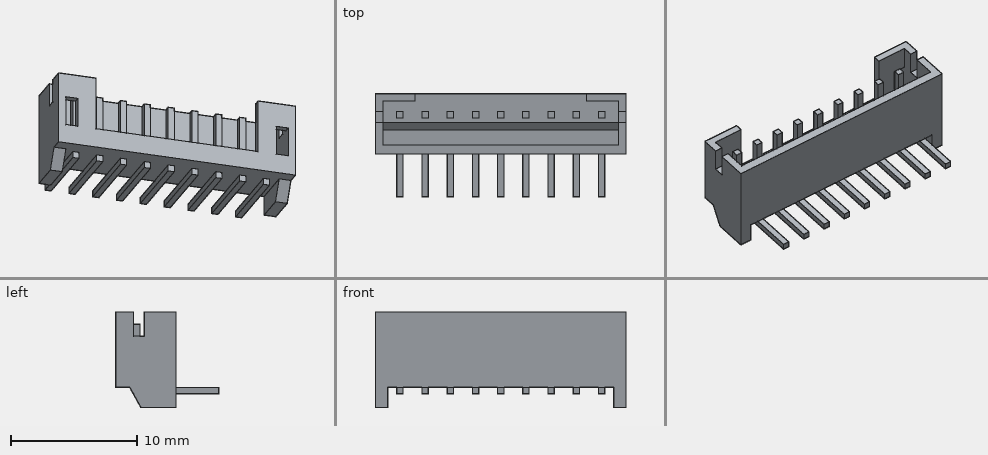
import cadquery as cq

LENGTH = 19.9
DEPTH = 4.8
HEIGHT = 7.6

SIDE_WALL = 0.62
FRONT_WALL = 0.72
BACK_WALL = 0.6
FLOOR_Z = 3.2

CHANNEL_BACK_Y = 1.91
SLOPE_TOP_Y = 2.53
CHANNEL_DEPTH = SLOPE_TOP_Y - CHANNEL_BACK_Y

TAB_LENGTH = 3.15

WINDOW_WIDTH = 1.0
WINDOW_DROP = 1.99

SLOT_FRONT_Y = SLOPE_TOP_Y
SLOT_BACK_Y = 3.36
SLOT_DEPTH = 1.93

FOOT_WIDTH = 1.0
FOOT_HEIGHT = 1.61
FOOT_BOTTOM_DEPTH = 2.79
FOOT_TOP_DEPTH = 3.68

PIN_COUNT = 9
PIN_ROW_LENGTH = 16.0
PIN_PITCH = PIN_ROW_LENGTH / (PIN_COUNT - 1)
PIN_SIZE = 0.52
PIN_REACH = 3.4
PIN_BACK_Y = SLOT_BACK_Y
PIN_TOP_DROP = 0.98

CAVITY_LENGTH = LENGTH - 2 * SIDE_WALL
CAVITY_BACK_Y = DEPTH - BACK_WALL


def box(x_range, y_range, z_range):
    """Box spanning the given (low, high) range on each axis."""
    low, high = zip(x_range, y_range, z_range)
    size = [b - a for a, b in zip(low, high)]
    return cq.Workplane("XY").box(*size, centered=False).translate(low)


def centred(length):
    """Range of the given length about the middle of the part."""
    return (-length / 2, length / 2)


def extrude_along_x(points, length):
    """Extrude a closed (Y, Z) profile along X, centred on the part."""
    return cq.Workplane("YZ").polyline(points).close().extrude(length / 2, both=True)


def make_blank():
    """End profile over the full length, cut away between the feet."""
    profile = [
        (0, 0),
        (FOOT_BOTTOM_DEPTH, 0),
        (FOOT_TOP_DEPTH, FOOT_HEIGHT),
        (DEPTH, FOOT_HEIGHT),
        (DEPTH, HEIGHT),
        (0, HEIGHT),
    ]
    blank = extrude_along_x(profile, LENGTH)
    return blank.cut(box(centred(LENGTH - 2 * FOOT_WIDTH), (0, DEPTH), (0, FOOT_HEIGHT)))


def make_cavity():
    """Space above the floor, with the channel along its front."""
    profile = [
        (FRONT_WALL, HEIGHT),
        (FRONT_WALL, FLOOR_Z - CHANNEL_DEPTH),
        (CHANNEL_BACK_Y, FLOOR_Z - CHANNEL_DEPTH),
        (SLOPE_TOP_Y, FLOOR_Z),
        (CAVITY_BACK_Y, FLOOR_Z),
        (CAVITY_BACK_Y, HEIGHT),
    ]
    return extrude_along_x(profile, CAVITY_LENGTH)


def make_back_openings():
    """Central gap between the tabs, and one window in each tab."""
    through_wall = (CAVITY_BACK_Y, DEPTH)
    gap = box(centred(LENGTH - 2 * TAB_LENGTH), through_wall, (FLOOR_Z, HEIGHT))
    inner = CAVITY_LENGTH / 2
    window = box((inner - WINDOW_WIDTH, inner), through_wall, (FLOOR_Z, HEIGHT - WINDOW_DROP))
    return gap.union(window).union(window.mirror("YZ"))


def make_pin():
    """L-shaped pin: upright in the cavity, leg running out under the front."""
    leg_top = FOOT_HEIGHT
    leg_bottom = leg_top - PIN_SIZE
    top = HEIGHT - PIN_TOP_DROP
    profile = [
        (-PIN_REACH, leg_bottom),
        (PIN_BACK_Y, leg_bottom),
        (PIN_BACK_Y, top),
        (PIN_BACK_Y - PIN_SIZE, top),
        (PIN_BACK_Y - PIN_SIZE, leg_top),
        (-PIN_REACH, leg_top),
    ]
    return extrude_along_x(profile, PIN_SIZE)


key_slots = box(centred(LENGTH), (SLOT_FRONT_Y, SLOT_BACK_Y), (HEIGHT - SLOT_DEPTH, HEIGHT))
result = make_blank().cut(make_cavity()).cut(make_back_openings()).cut(key_slots)

pin = make_pin()
for index in range(PIN_COUNT):
    x = index * PIN_PITCH - PIN_ROW_LENGTH / 2
    result = result.union(pin.translate((x, 0, 0)))